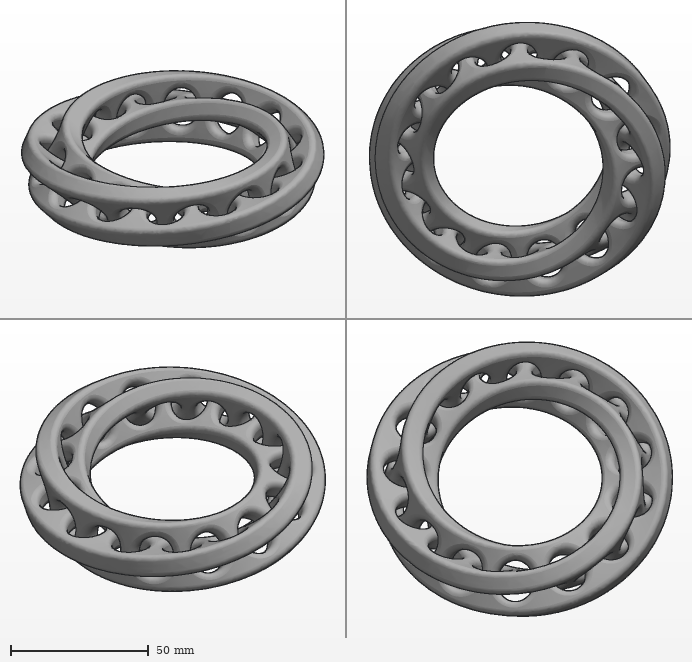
import cadquery as cq
import math


RING_RADIUS = 42.6
BAND_WIDTH = 25.5
BAND_THICKNESS = 8.2
RIM_FILLET = 2.0
HOLE_COUNT = 14
HOLE_LENGTH = 15.1
HOLE_WIDTH = 13.3
HOLE_FILLET = 2.4
SECTIONS_PER_HALF = 12

FULL_TURN = 360.0
HALF_TURN = FULL_TURN / 2
TWIST_PER_DEGREE = HALF_TURN / FULL_TURN
HOLE_PITCH = FULL_TURN / HOLE_COUNT
CUTTER_REACH = BAND_THICKNESS


def across_direction(angle):
    """Unit vector pointing across the twisted band, away from the ring axis at angle 0."""
    turn = math.radians(angle)
    tilt = turn * TWIST_PER_DEGREE
    flat = math.cos(tilt)
    return cq.Vector(math.cos(turn) * flat, math.sin(turn) * flat, math.sin(tilt))


def band_plane(angle):
    """Cross-section plane of the band: local X runs across it, local Y through its thickness."""
    turn = math.radians(angle)
    center = cq.Vector(math.cos(turn), math.sin(turn), 0) * RING_RADIUS
    along = cq.Vector(-math.sin(turn), math.cos(turn), 0)
    return cq.Plane(origin=center, xDir=across_direction(angle), normal=along)


def band_half(start):
    """Half a lap of solid band, lofted through rounded rectangles that twist along the ring."""
    section = cq.Sketch().rect(BAND_WIDTH, BAND_THICKNESS).vertices().fillet(RIM_FILLET)
    outline = section.reset().faces().val().outerWire()
    step = HALF_TURN / SECTIONS_PER_HALF
    planes = [band_plane(start + step * index) for index in range(SECTIONS_PER_HALF + 1)]
    return cq.Solid.makeLoft([outline.moved(cq.Location(plane)) for plane in planes])


def hole_cutter(angle):
    """Elliptical hole through the band, narrowing along the ring in step with the radius."""
    plane = band_plane(angle)
    ends = []
    for offset in (-CUTTER_REACH, CUTTER_REACH):
        center = plane.origin + plane.yDir * offset
        width = HOLE_WIDTH * math.hypot(center.x, center.y) / RING_RADIUS
        ends.append(
            cq.Wire.makeEllipse(HOLE_LENGTH / 2, width / 2, center, plane.yDir, plane.xDir)
        )
    return cq.Solid.makeLoft(ends, ruled=True)


def distance_from_ring(point):
    return math.hypot(math.hypot(point.x, point.y) - RING_RADIUS, point.z)


def moebius_band():
    """One pierced band with rounded hole mouths, lying flat at angle 0 with a hole there."""
    blank = band_half(0).fuse(band_half(HALF_TURN))
    cutters = [hole_cutter(index * HOLE_PITCH) for index in range(HOLE_COUNT)]
    pierced = blank.cut(*cutters).Solids()[0]
    mouths = [e for e in pierced.Edges() if distance_from_ring(e.Center()) < HOLE_WIDTH / 2]
    return pierced.fillet(HOLE_FILLET, mouths).Solids()[0]


def turned(band, angle):
    return band.rotate(cq.Vector(0, 0, 0), cq.Vector(0, 0, 1), angle)


band = moebius_band()
first_band = turned(band, HALF_TURN)
second_band = turned(band, -HOLE_PITCH / 2)

result = cq.Compound.makeCompound([first_band, second_band])